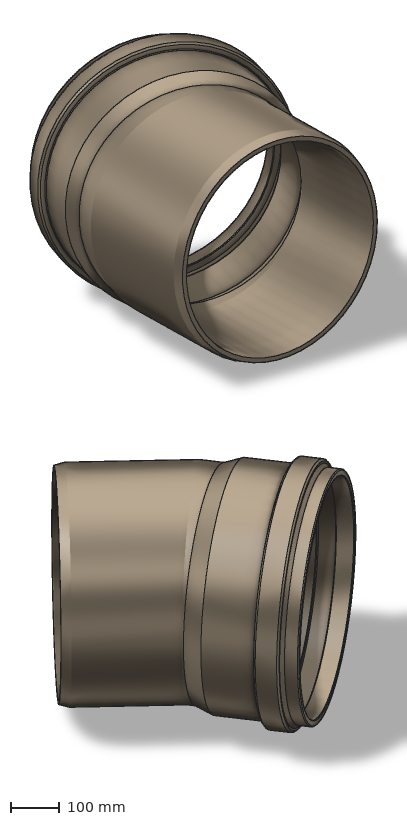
import cadquery as cq
import math

PIPE_OUTER_R = 502.0 / 2
PIPE_INNER_R = 470.0 / 2
BEND_ANGLE = 15.0
BEND_X = 281.0
OVERALL_LENGTH = 615.0
TIP_CHAMFER_LENGTH = 22.0
TIP_CHAMFER_ANGLE = 15.0
TIP_R = PIPE_OUTER_R - TIP_CHAMFER_LENGTH * math.tan(math.radians(TIP_CHAMFER_ANGLE))
TIP_OVERHANG = TIP_R * math.sin(math.radians(BEND_ANGLE))
SPIGOT_LENGTH = (OVERALL_LENGTH - BEND_X - TIP_OVERHANG) / math.cos(math.radians(BEND_ANGLE))

SOCKET_OUTER_R = 532.0 / 2
SOCKET_INNER_R = 503.0 / 2
MOUTH_CHAMFER = 2.5
BORE_CHAMFER = 2.0
SOCKET_END_X = 205.0
TAPER_END_X = 245.0
INNER_TAPER_SHIFT = 2.5

SEAL_INNER_R = 534.0 / 2
SEAL_THICKNESS = 6.0
GROOVE_R = SEAL_INNER_R + SEAL_THICKNESS
GROOVE_START_X = 40.0
GROOVE_END_X = 79.0

COLLAR_R = 565.0 / 2
COLLAR_START_X = 38.0
COLLAR_END_X = 91.5
COLLAR_CHAMFER = 4.0
COLLAR_FOOT = 2.15
RAMP_START_X = 29.5
RAMP_END_X = COLLAR_START_X - COLLAR_FOOT
RAMP_END_R = 271.0


def revolve_about_x(points):
    """Solid of revolution about X from (x, radius) points."""
    return cq.Workplane("XY").polyline(points).close().revolve(360, (0, 0, 0), (1, 0, 0))


def along_spigot(body):
    """Move a body from the X axis at the origin onto the spigot axis."""
    return body.rotate((0, 0, 0), (0, 0, 1), BEND_ANGLE).translate((BEND_X, 0, 0))


def miter_half_space(direction):
    """Block on one side (+1 or -1 along X) of the plane that halves the bend."""
    size = 4 * COLLAR_R
    block = cq.Workplane("XY").box(size, size, size).translate((direction * size / 2, 0, 0))
    return block.rotate((0, 0, 0), (0, 0, 1), BEND_ANGLE / 2).translate((BEND_X, 0, 0))


def make_socket():
    overrun_x = BEND_X + PIPE_OUTER_R
    socket = revolve_about_x([
        (0, SOCKET_INNER_R + BORE_CHAMFER),
        (0, SOCKET_OUTER_R - MOUTH_CHAMFER),
        (MOUTH_CHAMFER, SOCKET_OUTER_R),
        (RAMP_START_X, SOCKET_OUTER_R),
        (RAMP_END_X, RAMP_END_R),
        (COLLAR_START_X, RAMP_END_R + COLLAR_FOOT),
        (COLLAR_START_X, COLLAR_R - COLLAR_CHAMFER),
        (COLLAR_START_X + COLLAR_CHAMFER, COLLAR_R),
        (COLLAR_END_X - COLLAR_CHAMFER, COLLAR_R),
        (COLLAR_END_X, COLLAR_R - COLLAR_CHAMFER),
        (COLLAR_END_X, SOCKET_OUTER_R + COLLAR_FOOT),
        (COLLAR_END_X + COLLAR_FOOT, SOCKET_OUTER_R),
        (SOCKET_END_X, SOCKET_OUTER_R),
        (TAPER_END_X, PIPE_OUTER_R),
        (overrun_x, PIPE_OUTER_R),
        (overrun_x, PIPE_INNER_R),
        (TAPER_END_X - INNER_TAPER_SHIFT, PIPE_INNER_R),
        (SOCKET_END_X - INNER_TAPER_SHIFT, SOCKET_INNER_R),
        (GROOVE_END_X + BORE_CHAMFER, SOCKET_INNER_R),
        (GROOVE_END_X, SOCKET_INNER_R + BORE_CHAMFER),
        (GROOVE_END_X, GROOVE_R),
        (GROOVE_START_X, GROOVE_R),
        (GROOVE_START_X, SOCKET_INNER_R + BORE_CHAMFER),
        (GROOVE_START_X - BORE_CHAMFER, SOCKET_INNER_R),
        (BORE_CHAMFER, SOCKET_INNER_R),
    ])
    return socket.intersect(miter_half_space(-1))


def make_spigot():
    spigot = along_spigot(revolve_about_x([
        (-PIPE_OUTER_R, PIPE_INNER_R),
        (-PIPE_OUTER_R, PIPE_OUTER_R),
        (SPIGOT_LENGTH - TIP_CHAMFER_LENGTH, PIPE_OUTER_R),
        (SPIGOT_LENGTH, TIP_R),
        (SPIGOT_LENGTH, PIPE_INNER_R),
    ]))
    return spigot.intersect(miter_half_space(1))


def make_seal():
    return revolve_about_x([
        (GROOVE_START_X, SEAL_INNER_R),
        (GROOVE_START_X, GROOVE_R),
        (GROOVE_END_X, GROOVE_R),
        (GROOVE_END_X, SEAL_INNER_R),
    ])


pipe_bend = make_socket().union(make_spigot())
seal_ring = make_seal()

result = cq.Compound.makeCompound([pipe_bend.val(), seal_ring.val()])